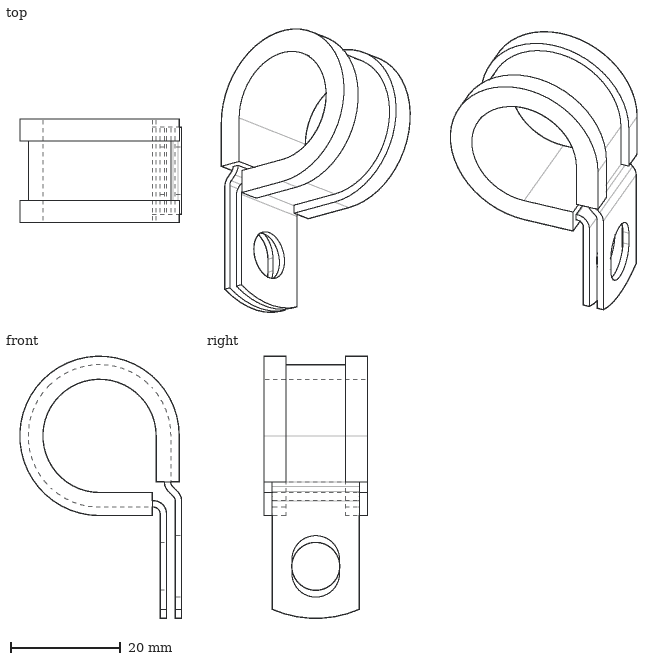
import cadquery as cq
import math


cushion_outer_radius = 14.55
cushion_thickness = 4.25
groove_depth = 1.55
cushion_inner_radius = cushion_outer_radius - cushion_thickness
groove_radius = cushion_outer_radius - groove_depth

lower_leg_length = 9.65
upper_leg_length = 8.4

cushion_width = 18.92
groove_width = 10.8
strap_width = 15.9

strap_thickness = 1.2
strap_radius = groove_radius - strap_thickness / 2
bend_radius = 1.5 * strap_thickness
jog_angle = math.radians(45)

overall_length = 29.53
overall_height = 47.83
outer_tab_x = overall_length - cushion_outer_radius - strap_thickness / 2
tab_gap = 1.55
inner_tab_x = outer_tab_x - strap_thickness - tab_gap
tab_bottom_z = cushion_outer_radius - overall_height
tab_end_radius = 20.0
hole_diameter = 8.7
hole_to_tab_end = 9.5
hole_center_z = tab_bottom_z + hole_to_tab_end
slot_length = 11.2


def polar(center, radius, angle):
    """XZ point at the given angle on a circle."""
    return (center[0] + radius * math.cos(angle), center[1] + radius * math.sin(angle))


def loop_band(inner_radius, outer_radius, width):
    """Three-quarter ring with a straight leg at each end, centred on Y = 0."""
    crown_angle = math.radians(135)
    return (
        cq.Workplane("XZ")
        .moveTo(lower_leg_length, -outer_radius)
        .lineTo(0, -outer_radius)
        .threePointArc(polar((0, 0), outer_radius, crown_angle), (outer_radius, 0))
        .lineTo(outer_radius, -upper_leg_length)
        .lineTo(inner_radius, -upper_leg_length)
        .lineTo(inner_radius, 0)
        .threePointArc(polar((0, 0), inner_radius, crown_angle), (0, -inner_radius))
        .lineTo(lower_leg_length, -inner_radius)
        .close()
        .extrude(width / 2, both=True)
    )


def strap_path():
    """Strap centreline from the inner tab, around the loop, to the outer tab."""
    corner_center = (inner_tab_x - bend_radius, -strap_radius - bend_radius)
    corner_middle = polar(corner_center, bend_radius, math.radians(45))
    corner_end = polar(corner_center, bend_radius, math.radians(90))

    jog_offset = outer_tab_x - strap_radius
    bend_offset = bend_radius * (1 - math.cos(jog_angle))
    bend_drop = bend_radius * math.sin(jog_angle)
    slope_drop = (jog_offset - 2 * bend_offset) / math.tan(jog_angle)
    jog_bottom_z = -upper_leg_length - 2 * bend_drop - slope_drop
    first_center = (strap_radius + bend_radius, -upper_leg_length)
    second_center = (outer_tab_x - bend_radius, jog_bottom_z)

    return (
        cq.Workplane("XZ")
        .moveTo(inner_tab_x, tab_bottom_z)
        .lineTo(inner_tab_x, corner_center[1])
        .threePointArc(corner_middle, corner_end)
        .lineTo(0, -strap_radius)
        .threePointArc(polar((0, 0), strap_radius, math.radians(135)), (strap_radius, 0))
        .lineTo(strap_radius, -upper_leg_length)
        .threePointArc(
            polar(first_center, bend_radius, math.pi + jog_angle / 2),
            polar(first_center, bend_radius, math.pi + jog_angle),
        )
        .lineTo(*polar(second_center, bend_radius, jog_angle))
        .threePointArc(
            polar(second_center, bend_radius, jog_angle / 2),
            (outer_tab_x, jog_bottom_z),
        )
        .lineTo(outer_tab_x, tab_bottom_z)
    )


def make_cushion():
    """Cushion with its outer groove open down to the strap."""
    body = loop_band(cushion_inner_radius, cushion_outer_radius, cushion_width)
    return body.cut(loop_band(groove_radius, cushion_outer_radius, groove_width))


def make_strap():
    """Bent strap with rounded tab ends, a round hole in the inner tab and a slot in the outer one."""
    strap = (
        cq.Workplane("XY", origin=(inner_tab_x, 0, tab_bottom_z))
        .rect(strap_thickness, strap_width)
        .sweep(strap_path())
    )

    half_width = strap_width / 2
    end_rise = tab_end_radius - math.sqrt(tab_end_radius**2 - half_width**2)
    side_z = tab_bottom_z + end_rise
    silhouette = (
        cq.Workplane("YZ")
        .moveTo(-half_width, side_z)
        .threePointArc((0, tab_bottom_z), (half_width, side_z))
        .lineTo(half_width, cushion_outer_radius)
        .lineTo(-half_width, cushion_outer_radius)
        .close()
        .extrude(overall_length, both=True)
    )
    round_hole = (
        cq.Workplane("YZ", origin=(inner_tab_x, 0, hole_center_z))
        .circle(hole_diameter / 2)
        .extrude(strap_thickness, both=True)
    )
    slot = (
        cq.Workplane("YZ", origin=(outer_tab_x, 0, hole_center_z))
        .slot2D(slot_length, hole_diameter, 90)
        .extrude(strap_thickness, both=True)
    )
    return strap.intersect(silhouette).cut(round_hole).cut(slot)


result = make_cushion().union(make_strap())